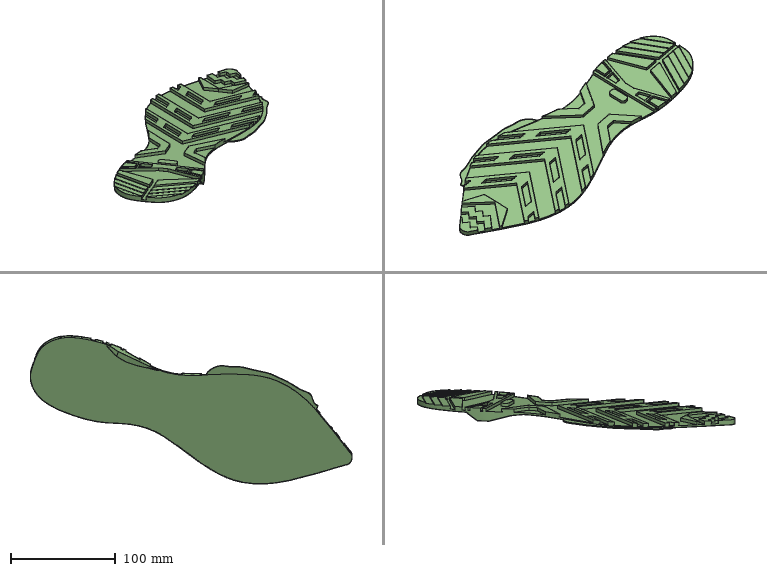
import cadquery as cq
import math


base_height = 2.0
tread_height = 3.05
sole_height = base_height + tread_height
block_height = base_height + 2 * tread_height
flange_height = 1.0
overall_height = 12.5
support_depth = overall_height - sole_height

sole_length = 320
half_outline = [
    (18.5, 3.0), (27.8, 10.2), (33.5, 19.0), (37.5, 30.5), (40.0, 53.7), (40.0, 65.3), (36.5, 88.3),
    (33.3, 99.8), (30.5, 119.3), (31.7, 134.7), (38.7, 157.7), (47.5, 180.8), (53.7, 204.0), (55.5, 219.8),
    (53.7, 234.8), (45.8, 258.0), (31.7, 281.2), (23.7, 292.7),
]
toe_side_end = (7.0, 315.5)
toe_arc_middle = (3.8, 319.0)
outside = 64

flange_root_x = 32
flange_edge = [
    (43.2, 271.5), (44.5, 267.8), (51.8, 261.5), (53.5, 252.8), (57.0, 239.0), (59.0, 227.8), (60.0, 217.0),
    (59.0, 201.5), (58.0, 188.8), (55.0, 179.2), (53.0, 170.5), (48.3, 164.0), (41.5, 160.3),
]

support_front_y = 115.5
support_rear_y = 60.8
support_inner_x = 29.8
support_bend_y = 102.5
support_rear_x = 38.5
support_profile = [
    (support_front_y, 0), (104.0, 1.5), (83.2, support_depth), (72.0, support_depth), (support_rear_y, 0),
]

zigzag_center_x = 1.5
zigzag_pitch = 9.5
toe_cap_valley_y = 307

wedge_apex_x = 0.3
wedge_apex_y = 271.3
wedge_slope = 0.91
wedge_bottom_y = 270.5
wedge_bottom_half = 14.5
wedge_end_x = 25.3
wedge_end_y = 291.8

chevron_tip_x = 0.3
chevron_tips_y = [239.0, 197.5, 158.5]
chevron_width = 19.2
left_slope = 0.885
right_slope = 1.09
left_window = (5.5, 14.0)
right_window = (6.5, 13.5)
inner_window_x = (6.5, 26.0)
outer_window_x = 36.0

bracket_inner = (9.3, 112.5, 129.5)
bracket_outer = (18.0, 116.5, 125.5)
bracket_upper_slope = 0.92
bracket_lower_slope = 0.7

pad_length = 19.0
pad_width = 8.0
pad_corner = 3.2
pad_y = 87.7

band_top_y = 80.3
band_ridge_y = 71.5
band_ridge_half = 4.8
band_slope = 0.33
band_rim = 3.0
band_window_top_y = 77.0
band_window_x = (12.0, 23.7)
band_notch_x = 25.5
band_groove = 2.0

heel_gap_half = 2.4
heel_front_y = 43.0
heel_front_slope = 0.364
heel_slope = 0.525
heel_front_rear_y = 29.5
ramp_start_y = 25.0
ramp_pitch = 8.0
ramp_count = 3
ramp_drop = 1.0


def mirrored(points):
    return [(-x, y) for x, y in points]


def tread(points):
    """Block with the given outline, standing through the tread level and above it."""
    return cq.Workplane("XY").polyline(points).close().extrude(block_height)


def outline_prism(bottom, height):
    heel_tangent = [(1, 0)] + [None] * len(half_outline)
    half = (
        cq.Workplane("XY").workplane(offset=bottom)
        .spline([(0, 0)] + half_outline, tangents=heel_tangent)
        .lineTo(*toe_side_end).threePointArc(toe_arc_middle, (0, sole_length))
        .close().extrude(height)
    )
    return half.union(half.mirror("YZ"))


def zigzag(valley_y):
    """Three valleys with two peaks between them and straight ends rising at 45 degrees."""
    rise = zigzag_pitch / 2
    reach = outside - zigzag_pitch
    line = [(zigzag_center_x - outside, valley_y + reach)]
    for step in range(-2, 3):
        line.append((zigzag_center_x + step * rise, valley_y + rise * (step % 2)))
    line.append((zigzag_center_x + outside, valley_y + reach))
    return line


def toe_treads():
    cap = tread(zigzag(toe_cap_valley_y))
    strip_front = zigzag(toe_cap_valley_y - zigzag_pitch)
    strip_rear = zigzag(toe_cap_valley_y - 2 * zigzag_pitch)
    strip = tread(strip_front + strip_rear[::-1])
    wedge_rise = wedge_slope * wedge_end_x
    wedge = tread([
        (wedge_apex_x, wedge_apex_y),
        (-wedge_end_x, wedge_apex_y + wedge_rise),
        (-wedge_end_x, wedge_end_y),
        (-wedge_bottom_half, wedge_bottom_y),
        (wedge_bottom_half, wedge_bottom_y),
        (wedge_end_x, wedge_end_y),
        (wedge_end_x, wedge_apex_y + wedge_rise),
    ])
    return [cap, strip, wedge]


def chevron_y(x, tip_y):
    slope = left_slope if x < chevron_tip_x else right_slope
    return tip_y + slope * abs(x - chevron_tip_x)


def chevron_window(x_start, x_end, tip_y, window):
    top, bottom = window
    return tread([
        (x_start, chevron_y(x_start, tip_y) - top),
        (x_end, chevron_y(x_end, tip_y) - top),
        (x_end, chevron_y(x_end, tip_y) - bottom),
        (x_start, chevron_y(x_start, tip_y) - bottom),
    ])


def chevron(tip_y):
    upper = [(x, chevron_y(x, tip_y)) for x in (-outside, chevron_tip_x, outside)]
    lower = [(x, y - chevron_width) for x, y in upper]
    body = tread(upper + lower[::-1])
    for side, window in ((-1, left_window), (1, right_window)):
        for x_start, x_end in (inner_window_x, (outer_window_x, outside)):
            body = body.cut(chevron_window(side * x_start, side * x_end, tip_y, window))
    return body


def bracket_line(corner):
    x, lower_y, upper_y = corner
    reach = outside - x
    return [
        (outside, upper_y + bracket_upper_slope * reach),
        (x, upper_y),
        (x, lower_y),
        (outside, lower_y - bracket_lower_slope * reach),
    ]


def waist_treads():
    points = bracket_line(bracket_inner) + bracket_line(bracket_outer)[::-1]
    pad = (
        cq.Workplane("XY").center(0, pad_y).rect(pad_length, pad_width).extrude(block_height)
        .edges("|Z").fillet(pad_corner)
    )
    return [tread(points), tread(mirrored(points)), pad]


def band_y(x, rim=0.0):
    """Rear edge of the heel band at distance x from the middle, moved forward by rim."""
    return band_ridge_y - band_slope * (x - band_ridge_half) + rim


def band_opening(x_start, x_end, top_y, rim):
    return [
        (x_start, top_y),
        (x_end, top_y),
        (x_end, band_y(x_end, rim)),
        (x_start, band_y(x_start, rim)),
    ]


def heel_band():
    rear = [(band_ridge_half, band_ridge_y), (outside, band_y(outside))]
    body = tread([(-outside, band_top_y), (outside, band_top_y)] + rear[::-1] + mirrored(rear))
    window = band_opening(*band_window_x, band_window_top_y, band_rim)
    notch = band_opening(band_notch_x, outside, band_window_top_y, band_rim)
    block = band_opening(
        band_notch_x + band_groove, outside, band_window_top_y - band_groove, band_rim + band_groove
    )
    for place in (list, mirrored):
        body = body.cut(tread(place(window))).cut(tread(place(notch))).union(tread(place(block)))
    return body


def heel_ramp(front_y):
    """Wedge at the top of the heel: it starts at nothing and ends in a step facing the toe."""
    angle = math.atan(heel_slope)
    plane = cq.Plane(
        origin=(0, front_y - heel_slope * heel_gap_half, sole_height),
        xDir=(math.sin(angle), -math.cos(angle), 0),
        normal=(math.cos(angle), math.sin(angle), 0),
    )
    width = ramp_pitch * math.cos(angle)
    section = cq.Workplane(plane).polyline([(0, 0), (width, 0), (width, ramp_drop)])
    wedge = section.close().extrude(outside)
    inner_side = cq.Workplane("XY").box(heel_gap_half * 2, sole_length, 2 * sole_height)
    return wedge.cut(inner_side)


def heel_treads():
    reach = outside - heel_gap_half
    front = tread([
        (heel_gap_half, heel_front_y),
        (outside, heel_front_y + heel_front_slope * reach),
        (outside, heel_front_rear_y + heel_slope * reach),
        (heel_gap_half, heel_front_rear_y),
    ])
    rear = tread([
        (heel_gap_half, ramp_start_y),
        (outside, ramp_start_y + heel_slope * reach),
        (outside, 0),
        (heel_gap_half, 0),
    ])
    return [front, rear, front.mirror("YZ"), rear.mirror("YZ")]


def side_flange():
    return (
        cq.Workplane("XY").moveTo(flange_root_x, flange_edge[0][1])
        .lineTo(*flange_edge[0]).spline(flange_edge[1:], includeCurrent=True)
        .lineTo(flange_root_x, flange_edge[-1][1]).close().extrude(flange_height)
    )


def arch_support():
    """Low hump under one edge, not yet trimmed to the sole outline."""
    block = (
        cq.Workplane("XY").workplane(offset=-support_depth)
        .moveTo(support_inner_x, support_front_y).lineTo(support_inner_x, support_bend_y)
        .tangentArcPoint((support_rear_x, support_rear_y), relative=False)
        .lineTo(outside, support_rear_y).lineTo(outside, support_front_y)
        .close().extrude(support_depth)
    )
    hump_points = [(y, -depth) for y, depth in support_profile]
    hump = cq.Workplane("YZ").polyline(hump_points).close().extrude(outside)
    return block.intersect(hump)


def layer(bottom, height):
    """Slab reaching well past the sole on every side."""
    return (
        cq.Workplane("XY").workplane(offset=bottom).center(0, sole_length / 2)
        .rect(3 * outside, 2 * sole_length).extrude(height)
    )


tread_blocks = toe_treads() + waist_treads() + [heel_band()] + heel_treads()
tread_blocks += [chevron(tip_y) for tip_y in chevron_tips_y]

grooves = layer(base_height, 2 * tread_height)
for block in tread_blocks:
    grooves = grooves.cut(block)

underside = layer(-2 * support_depth, 2 * support_depth).cut(arch_support())

result = outline_prism(-support_depth, support_depth + sole_height)
result = result.cut(underside).union(side_flange()).cut(grooves)
for step in range(ramp_count):
    ramp = heel_ramp(ramp_start_y - step * ramp_pitch)
    result = result.cut(ramp).cut(ramp.mirror("YZ"))